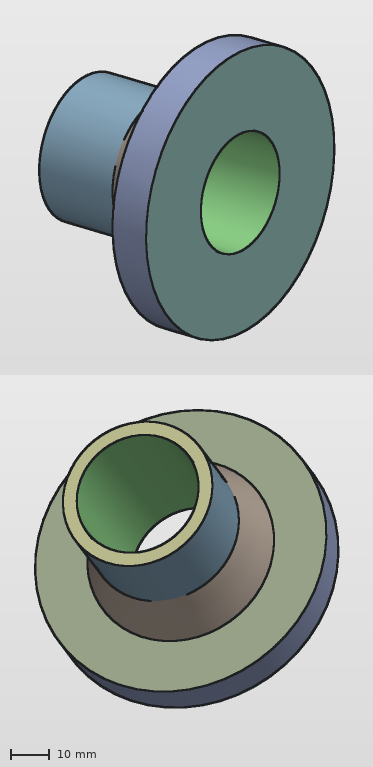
import cadquery as cq

flange_diameter = 78.0
neck_base_diameter = 50.0
pipe_diameter = 40.0
bore_diameter = 32.6

total_length = 50.0
flange_thickness = 11.0
neck_length = 15.0
pipe_length = total_length - flange_thickness - neck_length

flange_face_x = pipe_length + neck_length
body = (
    cq.Workplane("XZ")
    .moveTo(0, 0)
    .lineTo(0, pipe_diameter / 2)
    .lineTo(pipe_length, pipe_diameter / 2)
    .lineTo(flange_face_x, neck_base_diameter / 2)
    .lineTo(flange_face_x, flange_diameter / 2)
    .lineTo(total_length, flange_diameter / 2)
    .lineTo(total_length, 0)
    .close()
    .revolve(360, (0, 0, 0), (1, 0, 0))
)

bore = cq.Workplane("YZ").circle(bore_diameter / 2).extrude(total_length)

result = body.cut(bore)